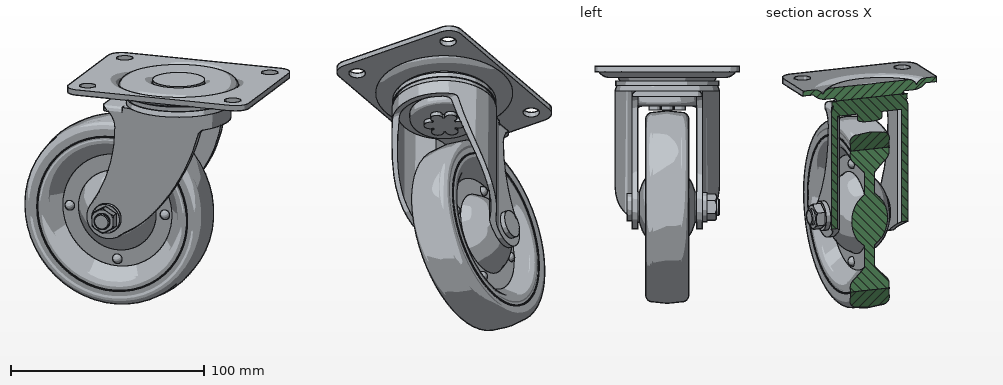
import cadquery as cq
import math


trail = 32.7
axle_drop = 73.0
wheel_radius = 50.0

plate_length = 99.6
plate_width = 75.0
plate_thickness = 2.9
plate_corner_radius = 7.4
bolt_hole_diameter = 8.5
bolt_pitch_x = 80.0
bolt_pitch_y = 55.9
groove_outer_radius = 35.2
groove_middle_radius = 31.0
groove_inner_radius = 26.9
groove_depth = 3.0
pan_rim_radius = 35.5
pan_floor_radius = 30.2
pan_floor_z = -6.0
pan_bulge_radius = 33.1
pan_bulge_z = -5.0
neck_top_radius = 25.5
neck_bottom_radius = 24.6
pit_radius = 17.4
pit_depth = 2.0
kingpin_head_radius = 13.5
kingpin_head_z = -0.3
kingpin_radius = 6.6
petal_count = 6
petal_radius = 3.2
petal_circle_radius = 7.3
kingpin_end_z = -22.8

sheet = 2.9
ring_top_z = -7.5
ring_bottom_z = -10.1
ring_radius = 26.8
bevel_top_radius = 26.2
crown_top_z = -12.9
crown_bottom_z = crown_top_z - sheet
crown_front_x = -35.8
crown_corner_radius = 3.3
crown_bend_radius = 2.6
skirt_radius = 27.2
leg_half_width = 18.1
flare_start_x = -24.5
flare_end_x = -17.9
leg_eye_radius = 11.3
leg_top_x = -32.3
skirt_bottom_z = -20.4
neck_mid = (-29.4, -19.9)
neck_end = (-28.6, -25.2)
front_edge_mid = (-33.0, -49.8)
front_edge_end = (-42.0, -67.0)
eye_rear_mid = (-28.0, -83.3)
eye_rear_end = (-24.5, -81.2)
back_edge_mid = (1.6, -58.8)
back_edge_end = (18.0, -23.2)
heel_mid = (19.1, -21.3)
heel_end = (21.2, -20.7)
cup_radius = 17.9
cup_bottom_z = -20.5
cup_fillet = 2.1

tire_half_width = 11.0
tread_half_width = 7.3
tread_edge_radius = 49.2
tire_flank_radius = 44.2
shoulder_bulge = 1.2
rim_radius = 41.1
bead_gap = 0.5
bead_gap_depth = 0.5
rim_lip_radius = 40.0
rim_cone_radius = 35.4
rim_cone_y = 8.9
lip_mid_radius = 37.2
lip_mid_y = 10.6
web_radius = 30.1
web_y = 2.9
dome_radius = 21.5
dome_mid_radius = 15.4
dome_mid_y = 11.0
hub_radius = 8
hub_face_y = 14.5
rivet_radius = 2.6
rivet_centre_y = 2.5
rivet_circle_radius = 26.2
rivet_count = 4

axle_radius = 4.2
head_radius = 7.2
washer_radius = 7.7
washer_thickness = 2.5
nut_across_flats = 11.8
nut_height = 4.8
nut_chamfer = 0.7
head_height = 2.6
bolt_end_y = -27.2
bolt_chamfer = 0.5

leg_inner_y = leg_half_width - sheet


def cylinder_z(radius, z_low, z_high):
    return cq.Workplane("XY").workplane(offset=z_low).circle(radius).extrude(z_high - z_low)


def cylinder_y(radius, y_low, y_high):
    """Cylinder about the wheel axle."""
    axle = cq.Workplane("XZ", origin=(-trail, y_low, -axle_drop))
    return axle.circle(radius).extrude(y_low - y_high)


def turn_about_axle(profile):
    """Revolve an (axial, radial) profile about Y and move it onto the wheel axle."""
    turned = profile.revolve(360, (0, 0, 0), (1, 0, 0))
    return turned.rotate((0, 0, 0), (0, 0, 1), 90).translate((-trail, 0, -axle_drop))


def rounded_recess(rim, foot, depth):
    """Ring cut whose wall rolls over smoothly from radius `rim` on the plate top down to radius `foot`."""
    width = foot - rim
    roll_radius = (width ** 2 + depth ** 2) / (2 * depth)
    mid_z = math.sqrt(roll_radius ** 2 - (width / 2) ** 2) - roll_radius
    return (
        cq.Workplane("XZ").moveTo(foot, 0)
        .lineTo(rim, 0)
        .threePointArc((rim + width / 2, mid_z), (foot, -depth))
        .close().revolve(360, (0, 0, 0), (0, 1, 0))
    )


def make_plate():
    plate = (
        cq.Workplane("XY").box(plate_length, plate_width, plate_thickness, centered=(True, True, False))
        .translate((0, 0, -plate_thickness))
        .edges("|Z").fillet(plate_corner_radius)
        .faces(">Z").workplane().rarray(bolt_pitch_x, bolt_pitch_y, 2, 2).hole(bolt_hole_diameter)
    )
    pan = (
        cq.Workplane("XZ").moveTo(0, -plate_thickness)
        .lineTo(pan_rim_radius, -plate_thickness)
        .threePointArc((pan_bulge_radius, pan_bulge_z), (pan_floor_radius, pan_floor_z))
        .lineTo(neck_top_radius, pan_floor_z)
        .lineTo(neck_bottom_radius, ring_top_z)
        .lineTo(0, ring_top_z)
        .close().revolve(360, (0, 0, 0), (0, 1, 0))
    )
    groove_inner_wall = rounded_recess(groove_inner_radius, groove_middle_radius, groove_depth)
    groove_outer_wall = rounded_recess(groove_outer_radius, groove_middle_radius, groove_depth)
    pit = rounded_recess(pit_radius, kingpin_head_radius, pit_depth)
    head_relief = cylinder_z(kingpin_head_radius, kingpin_head_z, 0)
    kingpin = cylinder_z(kingpin_radius, cup_bottom_z, ring_top_z)
    petals = (
        cq.Workplane("XY").workplane(offset=kingpin_end_z)
        .polarArray(petal_circle_radius, 0, 360, petal_count).circle(petal_radius)
        .extrude(cup_bottom_z - kingpin_end_z)
        .union(cylinder_z(kingpin_radius, kingpin_end_z, cup_bottom_z))
    )
    plate = plate.union(pan).union(kingpin).union(petals)
    return plate.cut(groove_inner_wall).cut(groove_outer_wall).cut(pit).cut(head_relief)


def fork_plan(inset, front_x, z_low, z_high):
    """Two straight legs that flare into a round skirt, with its outline moved in by `inset`."""
    radius = skirt_radius - inset
    leg_y = leg_half_width - inset
    flare_end_y = math.sqrt(radius ** 2 - flare_end_x ** 2)
    flare_mid_x = (flare_start_x + flare_end_x) / 2
    flare_mid_y = leg_y + (flare_end_y - leg_y) / 4
    return (
        cq.Workplane("XY").workplane(offset=z_low)
        .moveTo(front_x, -leg_y)
        .lineTo(flare_start_x, -leg_y)
        .threePointArc((flare_mid_x, -flare_mid_y), (flare_end_x, -flare_end_y))
        .threePointArc((radius, 0), (flare_end_x, flare_end_y))
        .threePointArc((flare_mid_x, flare_mid_y), (flare_start_x, leg_y))
        .lineTo(front_x, leg_y)
        .close().extrude(z_high - z_low)
    )


def fork_side():
    """Side outline of the legs and skirt, as a block across the whole width."""
    eye_front = (-trail - leg_eye_radius, -axle_drop)
    eye_bottom = (-trail, -axle_drop - leg_eye_radius)
    return (
        cq.Workplane("XZ").moveTo(leg_top_x, crown_top_z)
        .lineTo(leg_top_x, crown_bottom_z)
        .threePointArc(neck_mid, neck_end)
        .threePointArc(front_edge_mid, front_edge_end)
        .threePointArc(eye_front, eye_bottom)
        .threePointArc(eye_rear_mid, eye_rear_end)
        .threePointArc(back_edge_mid, back_edge_end)
        .threePointArc(heel_mid, heel_end)
        .lineTo(skirt_radius, skirt_bottom_z)
        .lineTo(skirt_radius, crown_top_z)
        .close().extrude(skirt_radius, both=True)
    )


def crown_bend(side):
    """Waste outside the rounded top edge of one leg; `side` is +1 or -1."""
    centre_y = leg_half_width - crown_bend_radius
    centre_z = crown_top_z - crown_bend_radius
    half = crown_bend_radius * math.sqrt(0.5)
    return (
        cq.Workplane("YZ", origin=(crown_front_x, 0, 0))
        .moveTo(side * centre_y, crown_top_z)
        .threePointArc((side * (centre_y + half), centre_z + half), (side * leg_half_width, centre_z))
        .lineTo(side * leg_half_width, crown_top_z)
        .close().extrude(flare_start_x - crown_front_x)
    )


def make_fork():
    block_front_x = -trail - 2 * leg_eye_radius
    hollow_front_x = block_front_x - sheet
    block_bottom_z = -axle_drop - 2 * leg_eye_radius
    walls = fork_plan(0, block_front_x, block_bottom_z, crown_top_z)
    hollow = fork_plan(sheet, hollow_front_x, block_bottom_z, crown_top_z)
    fork = walls.cut(hollow).intersect(fork_side())
    crown = fork_plan(0, crown_front_x, crown_bottom_z, crown_top_z)
    fork = fork.union(crown.edges("|Z and <X").fillet(crown_corner_radius))
    raised_top = (
        cq.Workplane("XZ").moveTo(0, crown_top_z)
        .lineTo(skirt_radius, crown_top_z)
        .lineTo(bevel_top_radius, ring_bottom_z)
        .lineTo(ring_radius, ring_bottom_z)
        .lineTo(ring_radius, ring_top_z)
        .lineTo(0, ring_top_z)
        .close().revolve(360, (0, 0, 0), (0, 1, 0))
    )
    cup = cylinder_z(cup_radius, cup_bottom_z, crown_top_z).faces("<Z").edges().fillet(cup_fillet)
    fork = fork.union(raised_top).union(cup)
    for side in (-1, 1):
        fork = fork.cut(crown_bend(side))
    kingpin_hole = cylinder_z(kingpin_radius, cup_bottom_z, ring_top_z)
    axle_holes = cylinder_y(axle_radius, -leg_half_width, leg_half_width)
    return fork.cut(kingpin_hole).cut(axle_holes)


def make_tire():
    shoulder_y = (tire_half_width + tread_half_width) / 2 + shoulder_bulge
    shoulder_radius = (tire_flank_radius + tread_edge_radius) / 2 + shoulder_bulge
    gap_y = tire_half_width - bead_gap_depth
    profile = (
        cq.Workplane("XY").moveTo(-gap_y, rim_radius)
        .lineTo(-gap_y, rim_radius + bead_gap)
        .lineTo(-tire_half_width, rim_radius + bead_gap)
        .lineTo(-tire_half_width, tire_flank_radius)
        .threePointArc((-shoulder_y, shoulder_radius), (-tread_half_width, tread_edge_radius))
        .threePointArc((0, wheel_radius), (tread_half_width, tread_edge_radius))
        .threePointArc((shoulder_y, shoulder_radius), (tire_half_width, tire_flank_radius))
        .lineTo(tire_half_width, rim_radius + bead_gap)
        .lineTo(gap_y, rim_radius + bead_gap)
        .lineTo(gap_y, rim_radius)
        .close()
    )
    return turn_about_axle(profile)


def make_rim():
    half_profile = (
        cq.Workplane("XY").moveTo(0, axle_radius)
        .lineTo(leg_inner_y, axle_radius)
        .lineTo(leg_inner_y, hub_radius)
        .lineTo(hub_face_y, hub_radius)
        .threePointArc((dome_mid_y, dome_mid_radius), (web_y, dome_radius))
        .lineTo(web_y, web_radius)
        .lineTo(rim_cone_y, rim_cone_radius)
        .threePointArc((lip_mid_y, lip_mid_radius), (tire_half_width, rim_lip_radius))
        .lineTo(tire_half_width, rim_radius)
        .lineTo(0, rim_radius)
        .close()
    )
    half_rim = turn_about_axle(half_profile)
    rim = half_rim.union(half_rim.mirror("XZ"))
    for index in range(rivet_count):
        angle = 2 * math.pi * index / rivet_count
        x = -trail + rivet_circle_radius * math.cos(angle)
        z = -axle_drop + rivet_circle_radius * math.sin(angle)
        for y in (-rivet_centre_y, rivet_centre_y):
            rim = rim.union(cq.Workplane("XY").sphere(rivet_radius).translate((x, y, z)))
    return rim


def make_axle():
    washer_y = -leg_half_width - washer_thickness
    shank = cylinder_y(axle_radius, bolt_end_y, leg_half_width).faces("<Y").chamfer(bolt_chamfer)
    head = cylinder_y(head_radius, leg_half_width, leg_half_width + head_height)
    washer = cylinder_y(washer_radius, washer_y, -leg_half_width)
    corner_diameter = nut_across_flats / math.cos(math.pi / 6)
    nut = (
        cq.Workplane("XZ", origin=(-trail, washer_y, -axle_drop))
        .transformed(rotate=(0, 0, 30)).polygon(6, corner_diameter).extrude(nut_height)
    )
    nut_blank = cylinder_y(corner_diameter / 2, washer_y - nut_height, washer_y)
    nut_blank = nut_blank.faces("<Y").chamfer(nut_chamfer)
    return shank.union(head).union(washer).union(nut.intersect(nut_blank))


plate = make_plate()
fork = make_fork()
tire = make_tire()
rim = make_rim()
axle = make_axle()

result = cq.Compound.makeCompound(
    [plate.solids().val(), fork.solids().val(), tire.solids().val(), rim.solids().val(), axle.solids().val()]
)